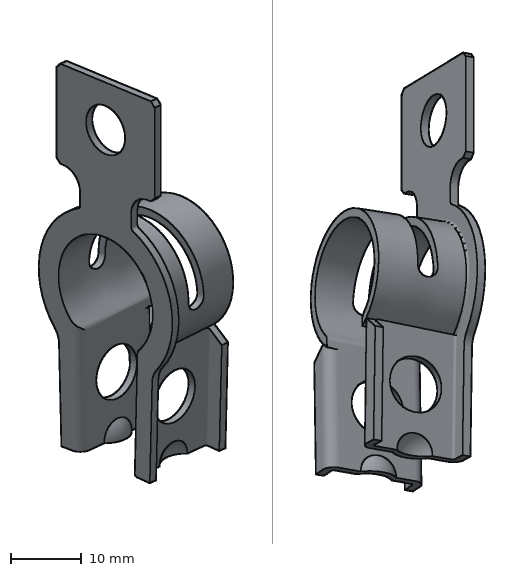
import math

import cadquery as cq


sheet = 1.3
depth = 15.62
overshoot = 1.0

ring_radius = 13.07
tab_half_width = 9.6
tab_top = 33.6
tab_bottom = 17.8
tab_chamfer = 0.75
tab_hole_diameter = 7.6
tab_hole_height = 26.1
neck_half_width = 5.0
neck_radius = 3.2
neck_root_radius = 0.6

barrel_front_radius = 10.48
barrel_back_radius = 10.17
bore_front_radius = barrel_front_radius - sheet
bore_back_radius = barrel_back_radius - sheet
lip_radius = 1.0
lip_height = -7.3

slot_center = 7.8
slot_top_width = 2.6
slot_end_width = 3.2
slot_bottom = -1.5

leg_bottom = -26.62
leg_top = -5.5
leg_lean = 1.65
leg_half_gap = 4.75
leg_width = 3.9
bend_inner_radius = 0.35
bend_outer_radius = bend_inner_radius + sheet
leg_root_radius = 3.3
back_flange_outer_top = -9.85
back_flange_slope = 0.75

leg_center = 7.6
leg_hole_diameter = 8.3
leg_hole_height = -16.45
dimple_radius = 2.85
dimple_rise = 1.25
dimple_sphere_radius = (dimple_radius**2 + dimple_rise**2) / (2 * dimple_rise)

lean_slope = math.tan(math.radians(leg_lean))


def leaning_x(offset, z):
    """Distance from the symmetry plane, at height z, of a line lying `offset` outside the web."""
    return leg_half_gap + offset + (z - leg_bottom) * lean_slope


def plate_extrude(sketch, thickness):
    """Extrude an XZ sketch backwards from the front plane."""
    return sketch.extrude(-thickness)


def cone(front_radius, back_radius):
    """Solid cone along Y, as long as the part is deep."""
    solid = cq.Solid.makeCone(front_radius, back_radius, depth, cq.Vector(0, 0, 0), cq.Vector(0, 1, 0))
    return cq.Workplane(obj=solid)


def both_sides(body):
    return body.union(body.mirror("YZ"))


def make_tab():
    """Mounting tab with broken corners, its hole, and a neck with concave shoulders."""
    shoulder_x = neck_half_width + neck_radius
    shoulder_z = tab_bottom - neck_radius
    arc_offset = neck_radius * math.sqrt(0.5)
    outline = (
        cq.Workplane("XZ")
        .moveTo(0, tab_top)
        .lineTo(tab_half_width - tab_chamfer, tab_top)
        .lineTo(tab_half_width, tab_top - tab_chamfer)
        .lineTo(tab_half_width, tab_bottom + tab_chamfer)
        .lineTo(tab_half_width - tab_chamfer, tab_bottom)
        .lineTo(shoulder_x, tab_bottom)
        .threePointArc(
            (shoulder_x - arc_offset, shoulder_z + arc_offset),
            (neck_half_width, shoulder_z),
        )
        .lineTo(neck_half_width, 0)
        .lineTo(0, 0)
        .close()
    )
    hole = cq.Workplane("XZ").center(0, tab_hole_height).circle(tab_hole_diameter / 2)
    return both_sides(plate_extrude(outline, sheet)).cut(plate_extrude(hole, sheet))


def make_leg_root():
    """Left-hand web of plate that rounds the ring outline into the leg's outer edge."""
    lean = math.radians(leg_lean)
    reach = ring_radius + leg_root_radius
    edge_distance = leaning_x(leg_width, 0) * math.cos(lean) + leg_root_radius
    polar = -math.acos(edge_distance / reach) - lean
    center_x = reach * math.cos(polar)
    center_z = reach * math.sin(polar)
    ring_point = (-ring_radius * math.cos(polar), ring_radius * math.sin(polar))
    leg_point = (
        -(center_x - leg_root_radius * math.cos(lean)),
        center_z + leg_root_radius * math.sin(lean),
    )
    middle = (math.pi + polar + math.pi - lean) / 2
    middle_point = (
        -(center_x + leg_root_radius * math.cos(middle)),
        center_z + leg_root_radius * math.sin(middle),
    )
    inner_x = -leaning_x(bend_outer_radius, leg_point[1])
    outline = (
        cq.Workplane("XZ")
        .moveTo(*ring_point)
        .threePointArc(middle_point, leg_point)
        .lineTo(inner_x, leg_point[1])
        .lineTo(inner_x, ring_point[1])
        .close()
    )
    return plate_extrude(outline, sheet)


def make_plate():
    """Ring, neck and tab."""
    ring = plate_extrude(cq.Workplane("XZ").circle(ring_radius), sheet)
    plate = ring.union(make_tab())
    neck_root = math.sqrt(ring_radius**2 - neck_half_width**2)
    root_size = 0.2
    root_box = cq.selectors.BoxSelector(
        (-neck_half_width - root_size, -overshoot, neck_root - root_size),
        (neck_half_width + root_size, sheet + overshoot, neck_root + root_size),
    )
    return plate.edges("|Y").edges(root_box).fillet(neck_root_radius)


def lean_left(body):
    """Tilt an upright left-hand body into the leg's lean, about the foot of its inner face."""
    foot = (-leg_half_gap, 0, leg_bottom)
    return body.rotate(foot, (-leg_half_gap, 1, leg_bottom), -leg_lean)


def make_left_opening():
    """Left half of the space between the legs."""
    box = cq.Workplane("XY").box(
        leg_half_gap + overshoot,
        depth + 2 * overshoot,
        overshoot - leg_bottom,
        centered=(False, False, False),
    )
    return lean_left(box.translate((-leg_half_gap, -overshoot, leg_bottom - overshoot)))


def make_left_bend_relief():
    """Corner removed in front of the left web to round the bend into the front flange."""
    web_inner = -leg_half_gap
    bend_offset = bend_outer_radius * (1 - math.sqrt(0.5))
    section = (
        cq.Workplane("XY")
        .workplane(offset=leg_bottom - overshoot)
        .moveTo(web_inner - bend_outer_radius, 0)
        .threePointArc((web_inner - bend_offset, bend_offset), (web_inner, bend_outer_radius))
        .lineTo(web_inner + overshoot, bend_outer_radius)
        .lineTo(web_inner + overshoot, -overshoot)
        .lineTo(web_inner - bend_outer_radius, -overshoot)
        .close()
    )
    return lean_left(section.extrude(overshoot - leg_bottom))


def make_barrel():
    """Tapered barrel, turned about Y, with a rounded foot against the back of the plate."""
    taper = (barrel_front_radius - barrel_back_radius) / depth
    wall_radius = barrel_front_radius - taper * sheet
    foot_end = sheet + bend_inner_radius
    foot_end_radius = barrel_front_radius - taper * foot_end
    foot_offset = bend_inner_radius * (1 - math.sqrt(0.5))
    profile = (
        cq.Workplane("XY")
        .lineTo(barrel_front_radius, 0)
        .lineTo(wall_radius + bend_inner_radius, sheet)
        .threePointArc((wall_radius + foot_offset, sheet + foot_offset), (foot_end_radius, foot_end))
        .lineTo(barrel_back_radius, depth)
        .lineTo(0, depth)
        .close()
    )
    return profile.revolve(360, (0, 0, 0), (0, 1, 0))


def make_slot():
    """Cutter running across the barrel crown and down both of its sides."""
    end_center = slot_bottom + slot_end_width / 2
    slot_top = barrel_front_radius + overshoot
    outline = (
        cq.Workplane("YZ")
        .moveTo(slot_center - slot_end_width / 2, end_center)
        .threePointArc((slot_center, slot_bottom), (slot_center + slot_end_width / 2, end_center))
        .lineTo(slot_center + slot_top_width / 2, slot_top)
        .lineTo(slot_center - slot_top_width / 2, slot_top)
        .close()
    )
    return outline.extrude(ring_radius, both=True)


def make_leg():
    """Left leg: leaning C-section with its back flange cut down at the top."""
    web_inner = -leg_half_gap
    web_outer = web_inner - sheet
    edge = web_inner - leg_width
    section = (
        cq.Workplane("XY")
        .workplane(offset=leg_bottom)
        .polyline(
            [
                (edge, 0),
                (web_inner, 0),
                (web_inner, depth),
                (edge, depth),
                (edge, depth - sheet),
                (web_outer, depth - sheet),
                (web_outer, sheet),
                (edge, sheet),
            ]
        )
        .close()
    )
    leg = section.extrude(leg_top - leg_bottom)
    leg = leg.edges("|Z").edges(">X and >Y").fillet(bend_outer_radius)
    web_outer_edges = cq.selectors.BoxSelector(
        (web_outer - sheet / 2, sheet / 2, leg_bottom - overshoot),
        (web_outer + sheet / 2, depth - sheet / 2, leg_top + overshoot),
    )
    leg = leg.edges("|Z").edges(web_outer_edges).fillet(bend_inner_radius)
    return lean_left(leg).cut(make_back_flange_trim())


def make_back_flange_trim():
    """Wedge that slopes the top of the left back flange up towards the web."""
    edge_x = -leaning_x(leg_width, back_flange_outer_top)
    run = leg_width
    outline = cq.Workplane("XZ", origin=(0, depth + overshoot, 0)).polyline(
        [
            (edge_x - overshoot, back_flange_outer_top - overshoot * back_flange_slope),
            (edge_x + run, back_flange_outer_top + run * back_flange_slope),
            (edge_x + run, 0),
            (edge_x - overshoot, 0),
        ]
    )
    return outline.close().extrude(bend_outer_radius + overshoot)


def dimple_sphere(rise):
    """Sphere whose cap peaks `rise` inside the left web's inner face at the leg's lower end."""
    center_x = -leg_half_gap + rise - dimple_sphere_radius
    return cq.Workplane("XY", origin=(center_x, leg_center, leg_bottom)).sphere(dimple_sphere_radius)


def make_dimple():
    """Half dome pressed inwards at the lower end of the left leg."""
    keep = cq.Workplane("XY").box(
        leg_half_gap, depth, leg_top - leg_bottom, centered=(False, False, False)
    )
    keep = keep.translate((-leg_half_gap - sheet / 2, 0, leg_bottom))
    return dimple_sphere(dimple_rise).intersect(keep)


def make_leg_holes():
    return (
        cq.Workplane("YZ")
        .center(leg_center, leg_hole_height)
        .circle(leg_hole_diameter / 2)
        .extrude(ring_radius, both=True)
    )


def round_lips(clip):
    """Round the two edges where the bore runs into the legs' inner faces."""
    lip_x = leaning_x(0, lip_height)
    left_lip = clip.edges(cq.selectors.NearestToPointSelector((-lip_x, leg_center, lip_height)))
    right_lip = clip.edges(cq.selectors.NearestToPointSelector((lip_x, leg_center, lip_height)))
    return left_lip.add(right_lip).fillet(lip_radius)


def make_clip():
    left_leg = make_leg().union(make_leg_root())
    clip = make_plate().union(make_barrel()).union(both_sides(left_leg))
    clip = clip.cut(cone(bore_front_radius, bore_back_radius))
    clip = clip.cut(both_sides(make_left_opening()))
    clip = round_lips(clip)
    clip = clip.cut(both_sides(make_left_bend_relief()))
    clip = clip.union(both_sides(make_dimple()))
    clip = clip.cut(both_sides(dimple_sphere(dimple_rise - sheet)))
    return clip.cut(make_slot()).cut(make_leg_holes())


result = make_clip()